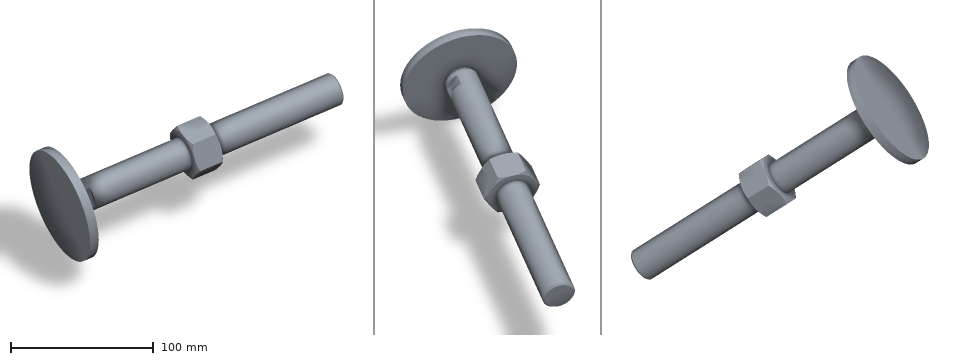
import cadquery as cq
import math

total_length = 224.0

plate_diameter = 84.0
plate_thickness = 7.0

rod_diameter = 24.0
rod_radius = rod_diameter / 2
rod_end_chamfer = 1.3
neck_radius = 10.5
neck_length = 1.0
neck_cone_length = 1.8

flats_width = 18.8
flats_start = 13.5
flats_length = 8.5
flats_angle = 30.0

nut_across_flats = 36.0
nut_start = 100.1
nut_height = 21.5
nut_across_corners = nut_across_flats / math.cos(math.radians(30))
nut_face_diameter = 36.0
nut_chamfer_angle = 30.0


def cylinder_along_y(radius, start, length):
    """Cylinder centred on the Y axis, growing towards +Y from y = start."""
    plane = cq.Plane(origin=(0, start, 0), xDir=(1, 0, 0), normal=(0, 1, 0))
    return cq.Workplane(plane).circle(radius).extrude(length)


def turn_about_y(profile_points):
    """Solid of revolution from (radius, y) points."""
    return cq.Workplane("XY").polyline(profile_points).close().revolve(360, (0, 0), (0, 1))


def make_plate():
    return cylinder_along_y(plate_diameter / 2, 0, plate_thickness)


def make_wrench_flats_cutter():
    """Ring of stock outside a slab whose two faces are the wrench flats."""
    band = cylinder_along_y(rod_diameter, flats_start, flats_length)
    slab = (
        cq.Workplane("XY")
        .box(flats_width, total_length, 3 * rod_diameter)
        .translate((0, total_length / 2, 0))
        .rotate((0, 0, 0), (0, 1, 0), -flats_angle)
    )
    return band.cut(slab)


def make_rod():
    neck_top = plate_thickness + neck_length
    body = turn_about_y([
        (0, plate_thickness),
        (neck_radius, plate_thickness),
        (neck_radius, neck_top),
        (rod_radius, neck_top + neck_cone_length),
        (rod_radius, total_length - rod_end_chamfer),
        (rod_radius - rod_end_chamfer, total_length),
        (0, total_length),
    ])
    return body.cut(make_wrench_flats_cutter())


def make_nut():
    plane = cq.Plane(origin=(0, nut_start, 0), xDir=(1, 0, 0), normal=(0, 1, 0))
    hexagon = cq.Workplane(plane).polygon(6, nut_across_corners).extrude(nut_height)

    face_radius = nut_face_diameter / 2
    corner_radius = nut_across_corners / 2
    chamfer_height = (corner_radius - face_radius) * math.tan(math.radians(nut_chamfer_angle))
    nut_end = nut_start + nut_height
    envelope = turn_about_y([
        (0, nut_start),
        (face_radius, nut_start),
        (corner_radius, nut_start + chamfer_height),
        (corner_radius, nut_end - chamfer_height),
        (face_radius, nut_end),
        (0, nut_end),
    ])
    bore = cylinder_along_y(rod_radius, nut_start, nut_height)
    return hexagon.intersect(envelope).cut(bore)


plate = make_plate()
rod = make_rod()
nut = make_nut()

result = cq.Compound.makeCompound([plate.val(), rod.val(), nut.val()])